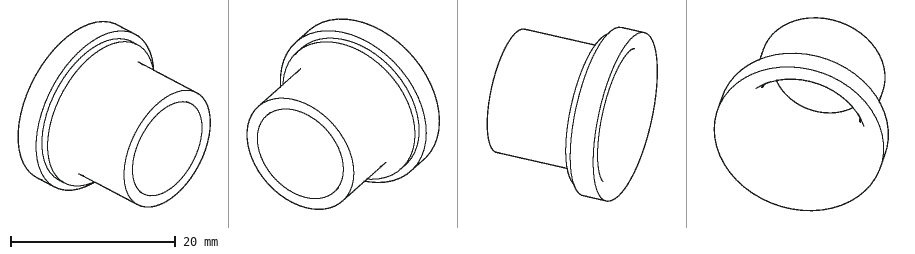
import cadquery as cq
import math

total_length = 15.0
flange_rim_end = 3.0
step_start = 3.05
step_end = 4.0

flange_radius = 21 / 2
step_radius = 19.0 / 2
tube_radius = 15.4 / 2
neck_fillet = 1.5

mouth_radius = 18.48 / 2
hole_radius = 12.4 / 2
mouth_round = 1.0
throat_round = 12.0
cone_half_angle = math.radians(23.5)


def outer_body():
    """Flange with a slightly coned back, shallow step and tube, with a concave fillet at the neck."""
    neck_center = (step_end + neck_fillet, tube_radius + neck_fillet)
    fillet_mid = (
        neck_center[0] - neck_fillet * math.sin(math.pi / 4),
        neck_center[1] - neck_fillet * math.cos(math.pi / 4),
    )
    profile = (
        cq.Workplane("XY")
        .lineTo(0, flange_radius)
        .lineTo(flange_rim_end, flange_radius)
        .lineTo(step_start, step_radius)
        .lineTo(step_end, step_radius)
        .lineTo(step_end, neck_center[1])
        .threePointArc(fillet_mid, (neck_center[0], tube_radius))
        .lineTo(total_length, tube_radius)
        .lineTo(total_length, 0)
        .close()
    )
    return profile.revolve(360, (0, 0, 0), (1, 0, 0))


def mouth_point(slope):
    """Point (X, radius) of the mouth rounding where the wall has this slope to the axis."""
    return (
        mouth_round * (1 - math.sin(slope)),
        mouth_radius - mouth_round * math.cos(slope),
    )


def bore():
    """Funnel bore whose cone is tangent to the mouth rounding and the throat arc."""
    cone_start = mouth_point(cone_half_angle)
    mouth_mid = mouth_point((math.pi / 2 + cone_half_angle) / 2)

    cone_end_radius = hole_radius + throat_round * (1 - math.cos(cone_half_angle))
    cone_length = (cone_start[1] - cone_end_radius) / math.tan(cone_half_angle)
    cone_end_x = cone_start[0] + cone_length
    throat_end_x = cone_end_x + throat_round * math.sin(cone_half_angle)

    half_slope = cone_half_angle / 2
    throat_mid = (
        throat_end_x - throat_round * math.sin(half_slope),
        hole_radius + throat_round * (1 - math.cos(half_slope)),
    )
    profile = (
        cq.Workplane("XY")
        .lineTo(0, mouth_radius)
        .threePointArc(mouth_mid, cone_start)
        .lineTo(cone_end_x, cone_end_radius)
        .threePointArc(throat_mid, (throat_end_x, hole_radius))
        .lineTo(total_length, hole_radius)
        .lineTo(total_length, 0)
        .close()
    )
    return profile.revolve(360, (0, 0, 0), (1, 0, 0))


result = outer_body().cut(bore())